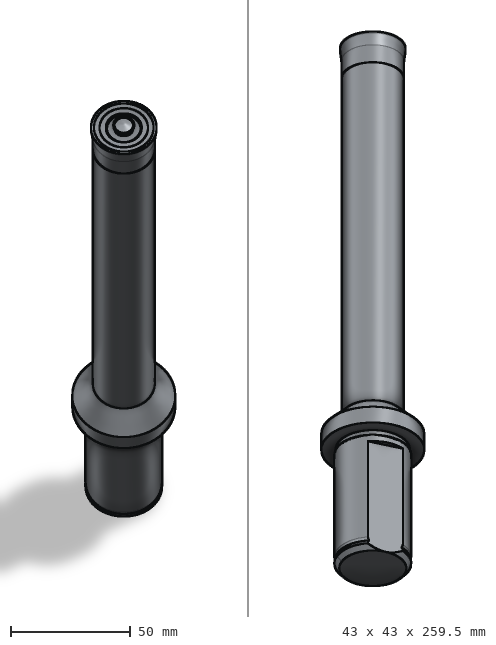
import cadquery as cq

TOTAL_HEIGHT = 259.5
SHANK_RADIUS = 16.0
FOOT_RADIUS = 14.0
FOOT_CHAMFER_HEIGHT = 2.3

GROOVE_TOP = 5.5
GROOVE_ROOT = 4.0
GROOVE_BOTTOM = 3.0
GROOVE_DEPTH = 0.3
GROOVE_RADIUS = SHANK_RADIUS - GROOVE_DEPTH

FLAT_DISTANCE = 14.0
FLAT_TOP = 52.7

NECK_RADIUS = 15.5
NECK_BOTTOM = 55.8

COLLAR_RADIUS = 21.5
COLLAR_BOTTOM = 58.5
COLLAR_TOP = 66.2
BARREL_RADIUS = 13.0
CONE_TOP = COLLAR_TOP + COLLAR_RADIUS - BARREL_RADIUS

SLEEVE_RADIUS = 13.1
SLEEVE_BOTTOM = 241.5
FLARE_BOTTOM = 250.0
RIM_RADIUS = 13.8
RIM_BOTTOM = 255.5
END_FACE = 256.2

RIM_INNER_RADIUS = 12.5
OUTER_RING_RADIUS = 10.0
INNER_RING_RADIUS = 7.5
INNER_RING_SLOPE_WIDTH = 0.5
RING_STEP = 0.13
RIM_FLOOR = END_FACE - RING_STEP
OUTER_RING_FLOOR = RIM_FLOOR - RING_STEP
INNER_RING_FLOOR = OUTER_RING_FLOOR - INNER_RING_SLOPE_WIDTH

STEM_RADIUS = 4.0
HEAD_RADIUS = 4.5
HEAD_BOTTOM = 257.7


def turned_body():
    outline = (
        cq.Workplane("XZ")
        .lineTo(FOOT_RADIUS, 0)
        .lineTo(SHANK_RADIUS, FOOT_CHAMFER_HEIGHT)
        .lineTo(SHANK_RADIUS, GROOVE_BOTTOM)
        .lineTo(GROOVE_RADIUS, GROOVE_ROOT)
        .lineTo(SHANK_RADIUS, GROOVE_TOP)
        .lineTo(SHANK_RADIUS, NECK_BOTTOM)
        .lineTo(NECK_RADIUS, NECK_BOTTOM)
        .lineTo(NECK_RADIUS, COLLAR_BOTTOM)
        .lineTo(COLLAR_RADIUS, COLLAR_BOTTOM)
        .lineTo(COLLAR_RADIUS, COLLAR_TOP)
        .lineTo(BARREL_RADIUS, CONE_TOP)
        .lineTo(BARREL_RADIUS, SLEEVE_BOTTOM)
        .lineTo(SLEEVE_RADIUS, SLEEVE_BOTTOM)
        .lineTo(SLEEVE_RADIUS, FLARE_BOTTOM)
        .lineTo(RIM_RADIUS, RIM_BOTTOM)
        .lineTo(RIM_RADIUS, END_FACE)
        .lineTo(RIM_INNER_RADIUS, END_FACE)
        .lineTo(RIM_INNER_RADIUS, RIM_FLOOR)
        .lineTo(OUTER_RING_RADIUS, RIM_FLOOR)
        .lineTo(OUTER_RING_RADIUS, OUTER_RING_FLOOR)
        .lineTo(INNER_RING_RADIUS, OUTER_RING_FLOOR)
        .lineTo(INNER_RING_RADIUS - INNER_RING_SLOPE_WIDTH, INNER_RING_FLOOR)
        .lineTo(STEM_RADIUS, INNER_RING_FLOOR)
        .lineTo(STEM_RADIUS, HEAD_BOTTOM)
        .lineTo(HEAD_RADIUS, HEAD_BOTTOM)
        .lineTo(0, TOTAL_HEIGHT)
        .close()
    )
    return outline.revolve(360, (0, 0, 0), (0, 1, 0))


def clamping_flat_cutter():
    width = 2 * SHANK_RADIUS
    depth = SHANK_RADIUS
    block = cq.Workplane("XY").box(width, depth, FLAT_TOP, centered=(True, False, False))
    return block.translate((0, FLAT_DISTANCE, 0))


result = turned_body().cut(clamping_flat_cutter())